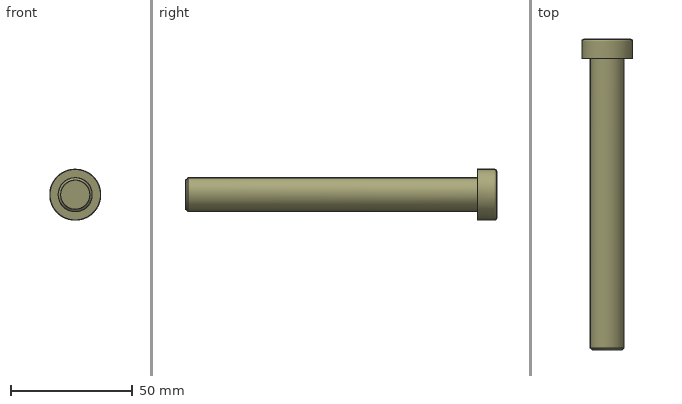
import cadquery as cq

head_diameter = 21.0
head_thickness = 8.0
head_rounding = 1.0

shank_diameter = 14.0
shank_length = 120.0
tip_chamfer = 1.0


def make_head():
    """Disc from the seating face (Y = 0) to +Y, with its outer rim rounded."""
    head = cq.Workplane("XZ").circle(head_diameter / 2).extrude(-head_thickness)
    return head.faces(">Y").edges().fillet(head_rounding)


def make_shank():
    """Plain cylinder from the seating face to -Y, with its tip chamfered."""
    shank = cq.Workplane("XZ").circle(shank_diameter / 2).extrude(shank_length)
    return shank.faces("<Y").edges().chamfer(tip_chamfer)


result = make_head().union(make_shank())